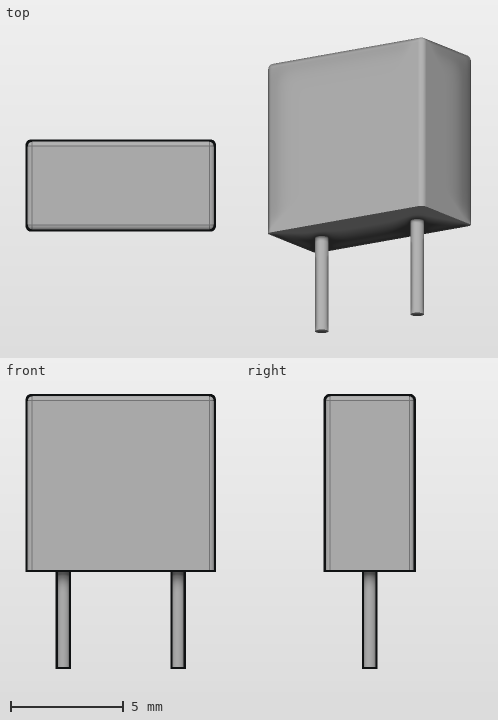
import cadquery as cq

body_length = 8.35
body_width = 4.0
body_height = 7.8
edge_radius = 0.25

total_height = 12.1
lead_length = total_height - body_height
lead_diameter = 0.6
lead_pitch = 5.08


def make_body():
    """Box standing on Z = 0, rounded everywhere except around its base."""
    box = cq.Workplane("XY").box(body_length, body_width, body_height, centered=(True, True, False))
    return box.edges("|Z or >Z").fillet(edge_radius)


def make_leads():
    """Two straight leads hanging from the base, spaced along X."""
    lead_centers = [(-lead_pitch / 2, 0), (lead_pitch / 2, 0)]
    return cq.Workplane("XY").pushPoints(lead_centers).circle(lead_diameter / 2).extrude(-lead_length)


result = make_body().union(make_leads())